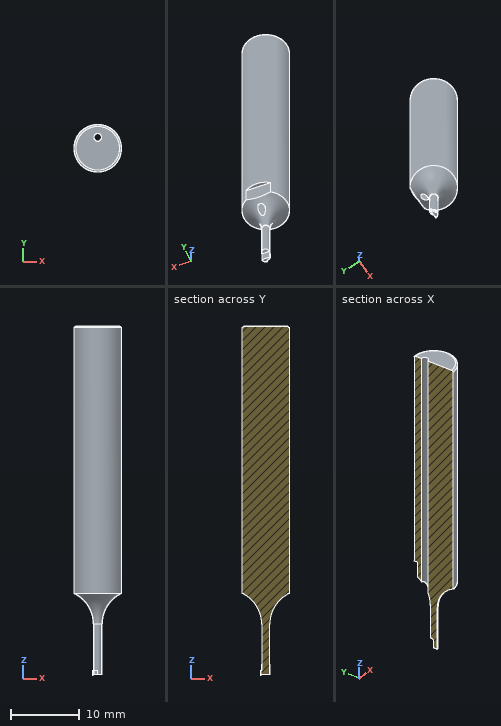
import cadquery as cq
import math

overall_length = 51.3
neck_bottom = 7.55
neck_height = 4.5
shank_bottom = neck_bottom + neck_height

shank_radius = 3.5
end_chamfer_width = 0.3
end_chamfer_height = 0.2
flat_y = 2.9
flat_height = 2.3

neck_bottom_radius = 0.66
neck_flare = shank_radius - neck_bottom_radius
neck_arc_radius = (neck_height**2 + neck_flare**2) / (2 * neck_flare)

coolant_diameter = 1.1
coolant_y = 1.6

stem_radius = 0.6
stem_end_clearance = 0.1
rake_face_y = 0.05
rake_height = 1.55
rake_end_rise = 0.15
tip_reach = 0.77
hook_height = 0.75
hook_inner_x = -0.05
edge_heel = (-0.55, -0.23)
hook_back_y = -0.45


def neck_radius_at(height):
    """Radius of the flared neck at a height above its lower end."""
    return neck_bottom_radius + neck_arc_radius - math.sqrt(neck_arc_radius**2 - height**2)


def make_body():
    """Revolved stem, flared neck and chamfered shank."""
    return (
        cq.Workplane("XZ")
        .moveTo(0, stem_end_clearance)
        .lineTo(stem_radius, stem_end_clearance)
        .lineTo(stem_radius, neck_bottom)
        .lineTo(neck_bottom_radius, neck_bottom)
        .threePointArc(
            (neck_radius_at(neck_height / 2), neck_bottom + neck_height / 2),
            (shank_radius, shank_bottom),
        )
        .lineTo(shank_radius, overall_length - end_chamfer_height)
        .lineTo(shank_radius - end_chamfer_width, overall_length)
        .lineTo(0, overall_length)
        .close()
        .revolve(360, (0, 0, 0), (0, 1, 0))
    )


def make_shank_flat():
    """Material removed by the flat at the lower end of the shank."""
    return (
        cq.Workplane("XY", origin=(0, flat_y, neck_bottom))
        .box(2 * shank_radius, shank_radius, neck_height + flat_height, centered=(True, False, False))
    )


def make_coolant_hole():
    """Straight hole from the shank end, breaking out of the neck."""
    return (
        cq.Workplane("XY", origin=(0, coolant_y, neck_bottom))
        .circle(coolant_diameter / 2)
        .extrude(overall_length - neck_bottom)
    )


def make_rake_cut():
    """Material removed in front of the rake face, ending in a sloped face."""
    outer_y = rake_face_y + stem_radius
    return (
        cq.Workplane("YZ")
        .moveTo(rake_face_y, 0)
        .lineTo(outer_y, 0)
        .lineTo(outer_y, rake_height + rake_end_rise)
        .lineTo(rake_face_y, rake_height)
        .close()
        .extrude(stem_radius, both=True)
    )


def make_hook_relief():
    """Material removed from the -X side of the stem to leave room for the hook."""
    return (
        cq.Workplane("XY", origin=(hook_inner_x - stem_radius, 0, 0))
        .box(stem_radius, 2 * stem_radius, hook_height, centered=(False, True, False))
    )


def make_hook():
    """Cutting hook with two clearance faces and an underside rising from the tip corner."""
    plan = (
        cq.Workplane("XY")
        .moveTo(-tip_reach, rake_face_y)
        .lineTo(hook_inner_x, rake_face_y)
        .lineTo(hook_inner_x, hook_back_y)
        .lineTo(*edge_heel)
        .close()
        .extrude(hook_height)
    )
    profile = (
        cq.Workplane("XZ")
        .moveTo(-tip_reach, 0)
        .lineTo(-stem_radius, stem_end_clearance)
        .lineTo(hook_inner_x, stem_end_clearance)
        .lineTo(hook_inner_x, hook_height)
        .lineTo(-tip_reach, hook_height)
        .close()
        .extrude(stem_radius, both=True)
    )
    return plan.intersect(profile)


result = (
    make_body()
    .cut(make_shank_flat())
    .cut(make_coolant_hole())
    .cut(make_rake_cut())
    .cut(make_hook_relief())
    .union(make_hook())
)